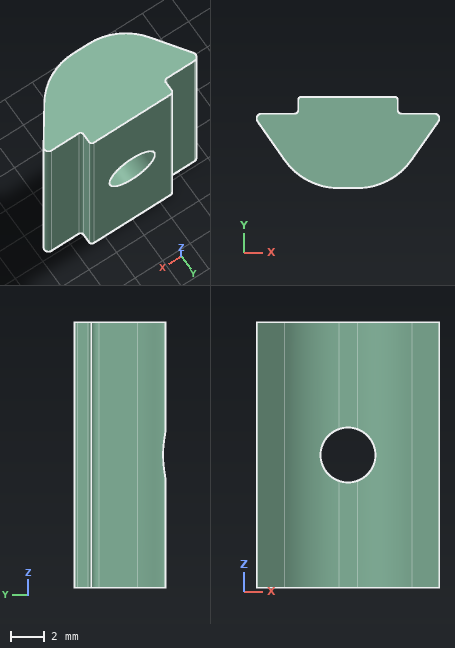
import cadquery as cq
import math

width = 11.0
depth = 5.5
length = 16.0

tab_width = 6.0
tab_height = 1.0
tab_edge_radius = 0.2
tab_root_radius = 0.2

flank_angle = math.radians(55)
wing_tip_radius = 0.3
belly_radius = 4.0

hole_diameter = 3.3

shoulder_y = depth - tab_height
tip_overhang = wing_tip_radius * (1 / math.tan(flank_angle / 2) - 1)
tip_x = width / 2 + tip_overhang
belly_x = tip_x - shoulder_y / math.tan(flank_angle)
tab_x = tab_width / 2


def round_corner_pair(body, x, y, radius):
    """Round the mirrored pair of lengthwise edges at (-x, y) and (x, y)."""
    middle = length / 2
    edges = body.edges(cq.NearestToPointSelector((-x, y, middle)))
    edges = edges.add(body.edges(cq.NearestToPointSelector((x, y, middle))))
    return edges.fillet(radius)


def make_body():
    right_side = [(belly_x, 0), (tip_x, shoulder_y), (tab_x, shoulder_y), (tab_x, depth)]
    left_side = [(-x, y) for x, y in reversed(right_side)]
    body = cq.Workplane("XY").polyline(right_side + left_side).close().extrude(length)
    body = round_corner_pair(body, belly_x, 0, belly_radius)
    body = round_corner_pair(body, tip_x, shoulder_y, wing_tip_radius)
    body = round_corner_pair(body, tab_x, shoulder_y, tab_root_radius)
    return round_corner_pair(body, tab_x, depth, tab_edge_radius)


def make_hole():
    """Cross hole through the full depth, halfway along the length."""
    axis_plane = cq.Workplane("XZ", origin=(0, depth, length / 2))
    return axis_plane.circle(hole_diameter / 2).extrude(depth)


result = make_body().cut(make_hole())